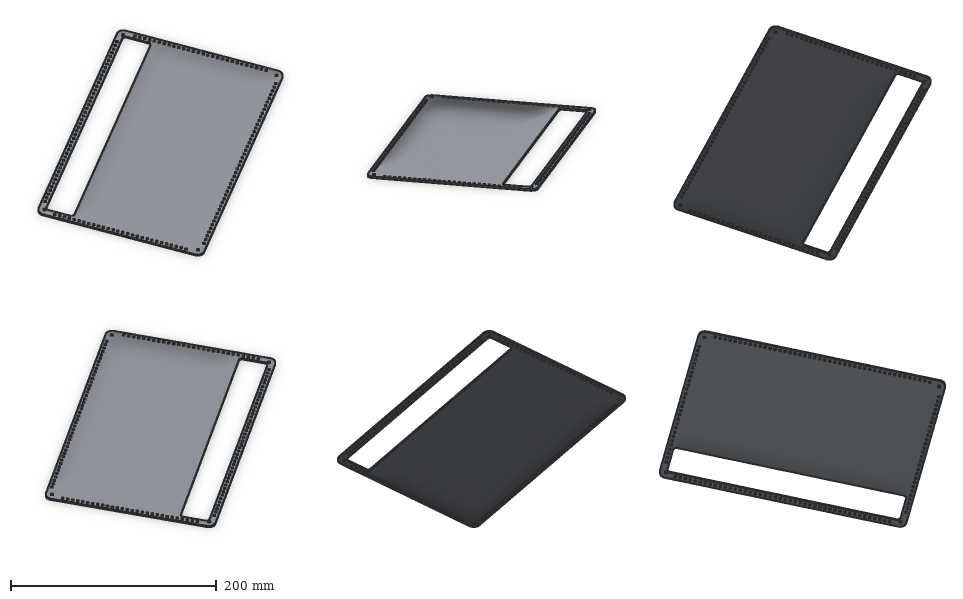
import cadquery as cq

width = 170.2
length = 247.0
thickness = 2.0
corner_radius = 6.7

border = 7.0
window_width = 28.7
window_length = length - 2 * border
window_corner_radius = 3.0

edge_hole_diameter = 2.0
edge_hole_inset = 3.5
short_row_count = 28
short_row_span = 135.0
long_row_count = 44
long_row_span = 215.0

corner_hole_diameter = 2.5
corner_hole_inset = 6.2


def rounded_slab(size_x, size_y, radius):
    """Slab of the plate's thickness, centred in X and Y, with rounded corners."""
    slab = cq.Workplane("XY").box(size_x, size_y, thickness, centered=(True, True, False))
    return slab.edges("|Z").fillet(radius)


def row_positions(count, span):
    """Evenly spaced positions, centred on zero."""
    pitch = span / (count - 1)
    return [i * pitch - span / 2 for i in range(count)]


def hole_cutters(points, diameter):
    """Cylinders through the full thickness at the given points."""
    return cq.Workplane("XY").pushPoints(points).circle(diameter / 2).extrude(thickness)


def make_window():
    center_x = -width / 2 + border + window_width / 2
    return rounded_slab(window_width, window_length, window_corner_radius).translate((center_x, 0, 0))


def make_edge_holes():
    row_x = width / 2 - edge_hole_inset
    row_y = length / 2 - edge_hole_inset
    points = []
    for side in (-1, 1):
        points += [(x, side * row_y) for x in row_positions(short_row_count, short_row_span)]
        points += [(side * row_x, y) for y in row_positions(long_row_count, long_row_span)]
    return hole_cutters(points, edge_hole_diameter)


def make_corner_holes():
    x = width / 2 - corner_hole_inset
    y = length / 2 - corner_hole_inset
    return hole_cutters([(-x, -y), (-x, y), (x, -y), (x, y)], corner_hole_diameter)


plate = rounded_slab(width, length, corner_radius)
result = plate.cut(make_window()).cut(make_edge_holes()).cut(make_corner_holes())